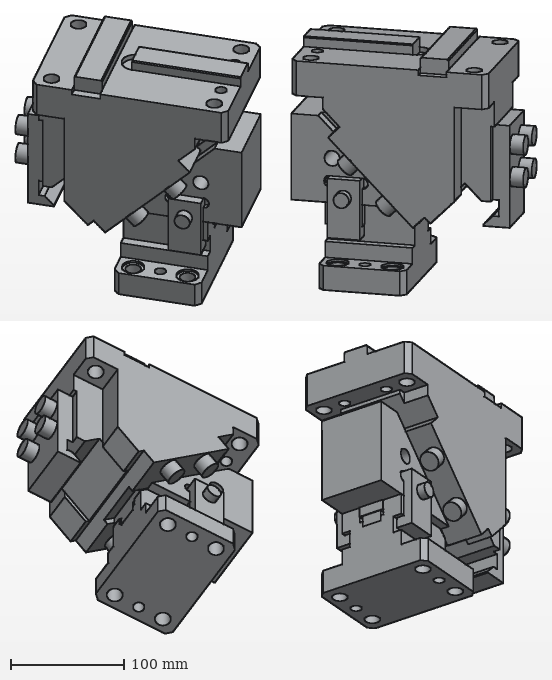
import cadquery as cq

OVERLAP = 1.0

body_width = 115.0
body_half = body_width / 2
neck_half = 32.0
corner_chamfer = 5.0
bolt_hole_d = 14.0
dowel_hole_d = 10.0
bolt_row_y = 45.0
screw_d = 17.7

gib_top_rise = 131.6
tongue_rise = 117.8
gib_bottom_rise = 110.5
slide_rise = 106.7
slideway_half = 21.0

base_length = 80.0
base_half_length = base_length / 2
foot_top = 22.5
step_top = 37.2
flange_bottom = 53.5
base_top = 73.4
web_half = 23.5
flange_start = 6.0
foot_bolt_x = 25.0
counterbore_d = 20.0
counterbore_depth = 2.0

key_half = 9.6
key_head_half = 12.7
key_head_bottom = 64.0
key_head_slot_bottom = 58.7
key_end = 40.7

slide_end = 71.0
slide_top = 152.9
cross_hole_d = 14.0
cross_hole_x = 33.5
cross_hole_z = 114.3
bracket_width = 30.0
bracket_bottom = 43.4
bracket_top = 98.1
bracket_outer = 40.5
bracket_lip_inner = 24.3
relief_r = 5.0
relief_depth = 5.0
pin_d = 14.0
pin_z = 81.0
pin_length = 8.0

plate_start = -115.0
plate_length = 179.5
plate_bottom = 177.5
plate_top = 209.5
total_height = 219.0
cheek_start = -84.8
cheek_end = 35.3
neck_end = 42.0
plate_bolt_inset = 15.1
dowel_y = 22.5
cheek_nose_fall = 5.5
neck_nose_fall = 12.5
gib_low_fall = 16.2
gib_high_fall = 171.5
neck_underside_rise = 188.3
gib_screw_falls = (59.1, 129.2)
gib_screw_y = 46.9
gib_screw_length = 12.0

key_groove_depth = 4.8
key_chamfer = 1.0
cross_key_start = -77.7
cross_key_width = 25.8
cross_key_half_length = 50.0
long_key_start = -35.0
long_key_half = 12.5

hook_outer = -127.0
hook_inner = -111.7
hook_half = 25.2
hook_top = 154.6
neck_low = 85.2
hook_slot_x = -117.2
hook_lip_top = 70.0
hook_tip_x = -103.1
hook_tip_height = 1.5
hook_bottom = 60.2
hook_screw_length = 12.0
hook_screw_y = 15.0
hook_screw_z = (104.7, 134.7)

plate_end = plate_start + plate_length
bracket_end = flange_start + bracket_width
bracket_x = flange_start + bracket_width / 2


def box(x0, x1, y0, y1, z0, z1):
    return cq.Workplane("XY").box(x1 - x0, y1 - y0, z1 - z0, centered=False).translate((x0, y0, z0))


def profile(points, y0, y1):
    """Extrude an X-Z outline from y0 to y1."""
    return cq.Workplane("XZ", origin=(0, y1, 0)).polyline(points).close().extrude(y1 - y0)


def crossing(rise, fall):
    """X-Z point where the plane z - x = rise meets the plane x + z = fall."""
    return ((fall - rise) / 2, (fall + rise) / 2)


def rod(diameter, start, direction, length):
    """Cylinder from a start point along a direction."""
    return cq.Workplane(cq.Solid.makeCylinder(diameter / 2, length, cq.Vector(*start), cq.Vector(*direction)))


def slideway_tongue():
    """Raised 45 degree tongue of the slide, which fills the groove of the holder."""
    start = -base_half_length
    return profile(
        [
            (start, start + slide_rise),
            (start, start + tongue_rise),
            (slide_top - tongue_rise, slide_top),
            (slide_top - slide_rise, slide_top),
        ],
        -slideway_half, slideway_half,
    )


def make_base():
    x = base_half_length
    foot = box(-x, x, -body_half, body_half, 0, foot_top).edges("|Z").chamfer(corner_chamfer)
    step = box(-x, x, -neck_half, neck_half, foot_top, step_top)
    web_outline = [
        (-x, step_top),
        (x, step_top),
        (x, base_top),
        (base_top - slide_rise, base_top),
        (-x, slide_rise - x),
    ]
    web = profile(web_outline, -web_half, web_half)
    flange = box(flange_start, x, -neck_half, neck_half, flange_bottom, base_top)
    base = foot.union(step).union(web).union(flange)

    slot_end = x + OVERLAP
    slot_top = base_top + OVERLAP
    base = base.cut(box(-slot_end, slot_end, -key_half, key_half, flange_bottom, slot_top))
    base = base.cut(box(-slot_end, slot_end, -key_head_half, key_head_half, key_head_slot_bottom, slot_top))

    for y in (-bolt_row_y, bolt_row_y):
        for x_bolt in (-foot_bolt_x, foot_bolt_x):
            base = base.cut(rod(bolt_hole_d, (x_bolt, y, 0), (0, 0, 1), foot_top))
            cbore_floor = (x_bolt, y, foot_top - counterbore_depth)
            base = base.cut(rod(counterbore_d, cbore_floor, (0, 0, 1), counterbore_depth))
        base = base.cut(rod(dowel_hole_d, (0, y, 0), (0, 0, 1), foot_top))
    return base


def make_bracket(side):
    """Retaining bracket on one flank: its lip reaches under the base flange."""
    relief_z = bracket_top - relief_r
    arm = box(flange_start, bracket_end, neck_half - relief_depth, bracket_outer, base_top, bracket_top)
    drop = box(flange_start, bracket_end, neck_half, bracket_outer, bracket_bottom, base_top)
    lip = box(flange_start, bracket_end, bracket_lip_inner, bracket_outer, bracket_bottom, flange_bottom)
    pin = rod(pin_d, (bracket_x, bracket_outer, pin_z), (0, 1, 0), pin_length)
    bracket = arm.union(drop).union(lip).union(pin)
    relief = (
        cq.Workplane("XZ", origin=(bracket_x, neck_half, relief_z))
        .slot2D(bracket_width + 2 * relief_r, 2 * relief_r)
        .extrude(relief_depth)
    )
    if side < 0:
        bracket = bracket.mirror("XZ")
        relief = relief.mirror("XZ")
    return bracket, relief


def make_slide():
    block = profile(
        [
            (base_top - slide_rise, base_top),
            (slide_end, base_top),
            (slide_end, slide_top),
            (slide_top - slide_rise, slide_top),
        ],
        -neck_half, neck_half,
    )
    key_head = box(-base_half_length, key_end, -key_head_half, key_head_half, key_head_bottom, base_top)
    key = box(-base_half_length, base_half_length, -key_half, key_half, flange_bottom, base_top)
    slide = block.union(slideway_tongue()).union(key_head).union(key)
    slide = slide.cut(rod(cross_hole_d, (cross_hole_x, -neck_half, cross_hole_z), (0, 1, 0), 2 * neck_half))
    for side in (-1, 1):
        bracket, relief = make_bracket(side)
        slide = slide.cut(relief).union(bracket)
    return slide


def make_top_plate():
    plate = box(plate_start, plate_end, -body_half, body_half, plate_bottom, plate_top)
    plate = plate.edges("|Z").chamfer(corner_chamfer)
    groove_floor = plate_top - key_groove_depth
    cross_key_end = cross_key_start + cross_key_width

    plate = plate.cut(box(cross_key_start, cross_key_end, -body_half, body_half, groove_floor, plate_top))
    plate = plate.cut(box(long_key_start, plate_end, -long_key_half, long_key_half, groove_floor, plate_top))
    plate = plate.cut(rod(2 * long_key_half, (long_key_start, 0, groove_floor), (0, 0, 1), key_groove_depth))

    cross_key = box(cross_key_start, cross_key_end, -cross_key_half_length, cross_key_half_length,
                    groove_floor, total_height)
    cross_key = cross_key.edges(">Z and |Y").chamfer(key_chamfer)
    long_key = box(long_key_start, plate_end, -long_key_half, long_key_half, groove_floor, total_height)
    long_key = long_key.edges(">Z and |X").chamfer(key_chamfer)
    plate = plate.union(cross_key).union(long_key)

    thickness = plate_top - plate_bottom
    far_x = plate_end - plate_bolt_inset
    for side in (-1, 1):
        for x in (plate_start + plate_bolt_inset, far_x):
            plate = plate.cut(rod(bolt_hole_d, (x, side * bolt_row_y, plate_bottom), (0, 0, 1), thickness))
        plate = plate.cut(rod(dowel_hole_d, (far_x, side * dowel_y, plate_bottom), (0, 0, 1), thickness))
    return plate


def make_holder_body():
    cheek_outline = [
        (cheek_start, plate_bottom),
        (cheek_start, cheek_nose_fall - cheek_start),
        crossing(gib_top_rise, cheek_nose_fall),
        (cheek_end, cheek_end + gib_top_rise),
        (cheek_end, plate_bottom),
    ]
    neck_outline = [
        (plate_start, plate_bottom),
        (plate_start, hook_top),
        (hook_inner, hook_top),
        (hook_inner, neck_low),
        (neck_low - neck_underside_rise, neck_low),
        crossing(neck_underside_rise, neck_nose_fall),
        crossing(gib_top_rise, neck_nose_fall),
        (neck_end, neck_end + gib_top_rise),
        (neck_end, plate_bottom),
    ]
    gib_outline = [
        crossing(gib_top_rise, gib_low_fall),
        crossing(gib_bottom_rise, gib_low_fall),
        crossing(gib_bottom_rise, gib_high_fall),
        crossing(gib_top_rise, gib_high_fall),
    ]
    body = profile(neck_outline, -neck_half, neck_half)
    body = body.union(profile(cheek_outline, -body_half, -neck_half))
    body = body.union(profile(cheek_outline, neck_half, body_half))
    return body.union(profile(gib_outline, -body_half, body_half))


def make_slideway_groove():
    """Groove along the whole gib for the tongue of the slide."""
    low_fall = gib_low_fall - OVERLAP
    high_fall = gib_high_fall + OVERLAP
    outline = [
        crossing(tongue_rise, low_fall),
        crossing(slide_rise, low_fall),
        crossing(slide_rise, high_fall),
        crossing(tongue_rise, high_fall),
    ]
    return profile(outline, -slideway_half, slideway_half)


def make_hook():
    outline = [
        (hook_outer, hook_top),
        (hook_inner, hook_top),
        (hook_inner, neck_low),
        (hook_slot_x, neck_low),
        (hook_slot_x, hook_lip_top),
        (hook_inner, hook_lip_top),
        (hook_tip_x, hook_bottom + hook_tip_height),
        (hook_tip_x, hook_bottom),
        (hook_outer, hook_bottom),
    ]
    hook = profile(outline, -hook_half, hook_half)
    for y in (-hook_screw_y, hook_screw_y):
        for z in hook_screw_z:
            hook = hook.union(rod(screw_d, (hook_outer, y, z), (-1, 0, 0), hook_screw_length))
    return hook


def make_holder():
    holder = make_top_plate().union(make_holder_body()).cut(make_slideway_groove()).union(make_hook())
    for y in (-gib_screw_y, gib_screw_y):
        for fall in gib_screw_falls:
            x, z = crossing(gib_bottom_rise, fall)
            holder = holder.union(rod(screw_d, (x, y, z), (1, 0, -1), gib_screw_length))
    return holder


base = make_base()
slide = make_slide()
holder = make_holder()

result = cq.Compound.makeCompound([base.val(), slide.val(), holder.val()])